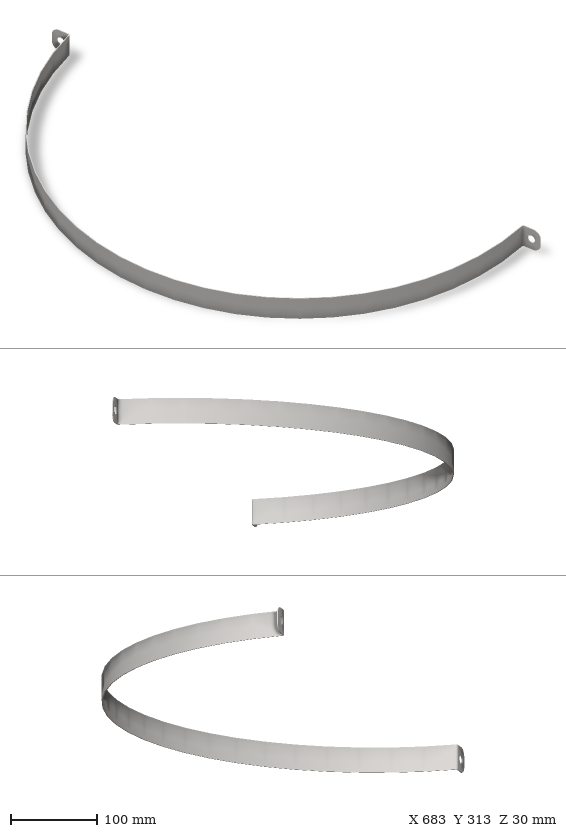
import cadquery as cq
import math

overall_width = 683.0
overall_depth = 313.0
strap_height = 30.0
thickness = 1.15

band_radius = 317.5
bend_radius = 1.5

lug_corner_radius = 10.0
hole_diameter = 10.0
hole_edge_distance = 12.0

inner_radius = band_radius - thickness
centre_y = band_radius - overall_depth
half_width = overall_width / 2
hole_x = half_width - hole_edge_distance


def band_x(radius, y):
    """Half-width of a band circle at the given y."""
    return math.sqrt(radius**2 - (y - centre_y) ** 2)


def make_strap():
    """Half-round band with an outward lug at each end, in one bent strip."""
    lug_front_y = -thickness
    outer_x = band_x(band_radius, lug_front_y)
    inner_x = band_x(inner_radius, 0)
    return (
        cq.Workplane("XY", origin=(0, 0, -strap_height / 2))
        .moveTo(-half_width, 0)
        .lineTo(-inner_x, 0)
        .threePointArc((0, centre_y - inner_radius), (inner_x, 0))
        .lineTo(half_width, 0)
        .lineTo(half_width, lug_front_y)
        .lineTo(outer_x, lug_front_y)
        .threePointArc((0, -overall_depth), (-outer_x, lug_front_y))
        .lineTo(-half_width, lug_front_y)
        .close()
        .extrude(strap_height)
    )


def edges_near(x, y):
    """Selector for the vertical edges on both sides around (x, y)."""
    reach = thickness / 3
    right = cq.selectors.BoxSelector((x - reach, y - reach, -strap_height),
                                     (x + reach, y + reach, strap_height))
    left = cq.selectors.BoxSelector((-x - reach, y - reach, -strap_height),
                                    (-x + reach, y + reach, strap_height))
    return right + left


def round_bends(strap):
    """Round both faces of each bend about the same axis."""
    outer_x = band_x(band_radius, -thickness)
    inner_x = band_x(inner_radius, 0)
    strap = strap.edges("|Z").edges(edges_near(outer_x, -thickness)).fillet(bend_radius)
    return strap.edges("|Z").edges(edges_near(inner_x, 0)).fillet(bend_radius + thickness)


def round_lug_ends(strap):
    """Round the upper and lower corners at the free end of each lug."""
    return strap.faces("<X or >X").edges("|Y").fillet(lug_corner_radius)


def drill_lugs(strap):
    """Cut one through hole in each lug."""
    holes = (
        cq.Workplane("XZ")
        .pushPoints([(-hole_x, 0), (hole_x, 0)])
        .circle(hole_diameter / 2)
        .extrude(thickness, both=True)
    )
    return strap.cut(holes)


result = drill_lugs(round_lug_ends(round_bends(make_strap())))